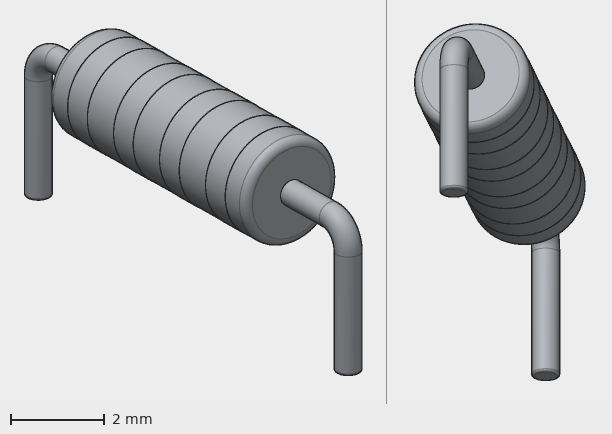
import cadquery as cq


overall_length = 11.6
overall_height = 4.71

lead_diameter = 0.6
lead_bend_radius = 0.63
lead_tip_fillet = 0.06

body_length = 7.0
body_diameter = 2.5
body_edge_fillet = 0.2

band_count = 4
band_diameter = 2.52

lead_radius = lead_diameter / 2
leg_x = overall_length / 2 - lead_radius
lead_tip_z = band_diameter / 2 - overall_height

band_width = body_length / 10
band_margin = body_length / 10
band_pitch = (body_length - 2 * band_margin - band_width) / (band_count - 1)
first_band_x = -body_length / 2 + band_margin


def make_lead():
    """One round wire running through the body and bent down at both ends."""
    path = (
        cq.Workplane("XZ")
        .moveTo(-leg_x, lead_tip_z)
        .lineTo(-leg_x, -lead_bend_radius)
        .radiusArc((-leg_x + lead_bend_radius, 0), lead_bend_radius)
        .lineTo(leg_x - lead_bend_radius, 0)
        .radiusArc((leg_x, -lead_bend_radius), lead_bend_radius)
        .lineTo(leg_x, lead_tip_z)
    )
    wire = (
        cq.Workplane("XY", origin=(-leg_x, 0, lead_tip_z))
        .circle(lead_radius)
        .sweep(path)
    )
    return wire.faces("<Z").edges().fillet(lead_tip_fillet)


def make_body():
    """Cylinder with rounded end edges and a through hole for the lead."""
    cylinder = (
        cq.Workplane("YZ", origin=(-body_length / 2, 0, 0))
        .circle(body_diameter / 2)
        .extrude(body_length)
        .faces("<X or >X")
        .edges()
        .fillet(body_edge_fillet)
    )
    return cylinder.faces("<X").workplane(origin=(0, 0, 0)).hole(lead_diameter)


def make_band(start_x):
    """Thin colour ring wrapped around the outside of the body."""
    return (
        cq.Workplane("YZ", origin=(start_x, 0, 0))
        .circle(band_diameter / 2)
        .circle(body_diameter / 2)
        .extrude(band_width)
    )


lead = make_lead()
body = make_body()
bands = [make_band(first_band_x + i * band_pitch) for i in range(band_count)]

result = cq.Compound.makeCompound([lead.val(), body.val(), *[band.val() for band in bands]])